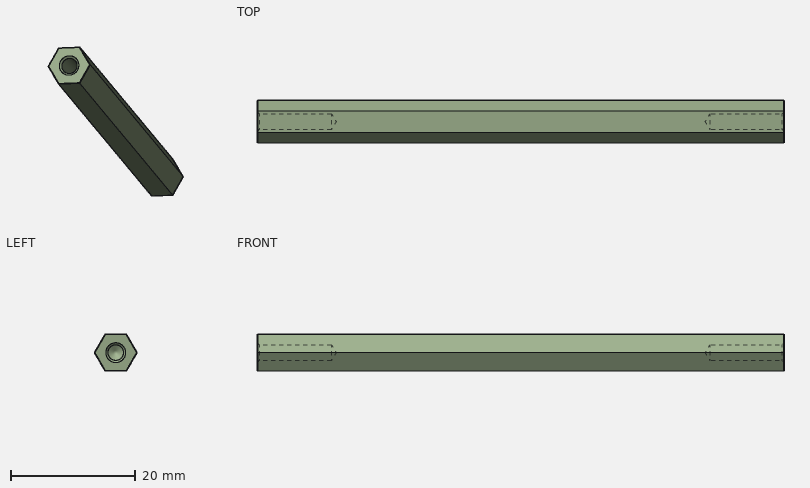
import cadquery as cq
import math

length = 85.0
across_flats = 6.0
across_corners = across_flats / math.cos(math.radians(30))
end_chamfer = 0.1

hole_diameter = 2.5
hole_depth = 12.0
drill_tip_angle = 118.0
countersink_diameter = 3.2
countersink_angle = 90.0


def hexagonal_bar():
    """Hexagon with corners on the Y axis, chamfered around both end faces."""
    bar = cq.Workplane("YZ").polygon(6, across_corners).extrude(length)
    return bar.faces("<X or >X").chamfer(end_chamfer)


def cone_height(radius_change, included_angle):
    return radius_change / math.tan(math.radians(included_angle / 2))


def hole_cutter():
    """Hole in the -X end: countersink, straight bore and conical tip, revolved about X."""
    hole_radius = hole_diameter / 2
    mouth_radius = countersink_diameter / 2
    countersink_depth = cone_height(mouth_radius - hole_radius, countersink_angle)
    tip_length = cone_height(hole_radius, drill_tip_angle)
    profile = [
        (0, 0),
        (0, mouth_radius),
        (countersink_depth, hole_radius),
        (hole_depth, hole_radius),
        (hole_depth + tip_length, 0),
    ]
    return cq.Workplane("XY").polyline(profile).close().revolve(360, (0, 0, 0), (1, 0, 0))


near_hole = hole_cutter()
far_hole = near_hole.mirror("YZ").translate((length, 0, 0))

result = hexagonal_bar().cut(near_hole).cut(far_hole)